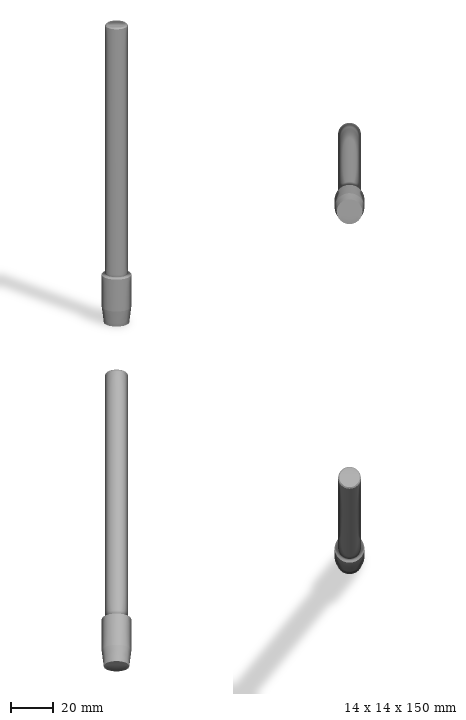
import cadquery as cq

total_length = 150.0
rod_diameter = 10.6
rod_chamfer = 0.6

sleeve_diameter = 14.0
sleeve_length = 24.6
shoulder_height = 0.6
taper_length = 8.0
taper_end_diameter = 12.0


def make_rod():
    """Straight round rod running the full length, chamfered at its top end."""
    return (
        cq.Workplane("XY")
        .circle(rod_diameter / 2)
        .extrude(total_length)
        .faces(">Z")
        .chamfer(rod_chamfer)
    )


def make_sleeve():
    """Sleeve around the lower end of the rod, tapered below and with a shallow conical shoulder on top."""
    bore_radius = rod_diameter / 2
    outer_radius = sleeve_diameter / 2
    return (
        cq.Workplane("XZ")
        .moveTo(bore_radius, 0)
        .lineTo(taper_end_diameter / 2, 0)
        .lineTo(outer_radius, taper_length)
        .lineTo(outer_radius, sleeve_length - shoulder_height)
        .lineTo(bore_radius, sleeve_length)
        .close()
        .revolve(360, (0, 0, 0), (0, 1, 0))
    )


rod = make_rod()
sleeve = make_sleeve()

result = cq.Compound.makeCompound([rod.val(), sleeve.val()])